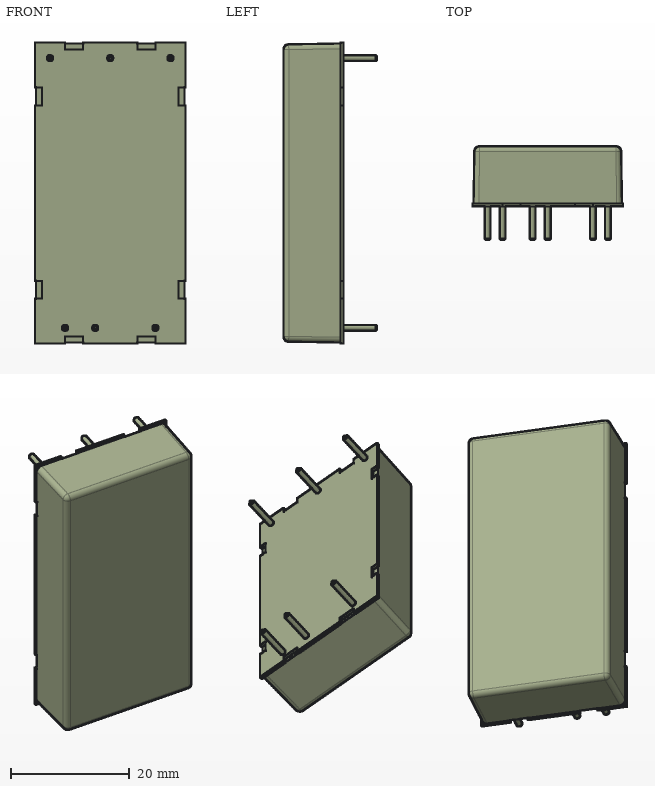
import cadquery as cq
import math

width = 25.4
height = 50.8
depth = 10.15

flange_thickness = 0.5
notch_length = 3.0
notch_depth = 1.2
notch_offset_x = 6.1
notch_offset_z = 16.3

case_inset_front = 0.15
case_inset_back = 0.3
edge_radius = 0.9

pin_diameter = 1.0
pin_length = 5.65
pin_chamfer = 0.25
pin_embed = 0.5
pin_row_z = 22.75
top_pins_x = (-10.15, 0.0, 10.15)
bottom_pins_x = (-7.6, -2.55, 7.6)


def make_case():
    """Tapered block with rounded corners and a rounded back."""
    case_depth = depth - flange_thickness
    taper = math.degrees(math.atan((case_inset_back - case_inset_front) / case_depth))
    inset = 2 * case_inset_front
    case = (
        cq.Workplane("XZ", origin=(0, flange_thickness, 0))
        .rect(width - inset, height - inset)
        .extrude(-case_depth, taper=taper)
    )
    return case.edges("not <Y").fillet(edge_radius)


def make_flange():
    """Thin plate with two notches in each of its four edges."""
    flange = cq.Workplane("XZ").rect(width, height).extrude(-flange_thickness)
    for side in (-1, 1):
        flange = flange.cut(
            cq.Workplane("XZ")
            .pushPoints([(x, side * height / 2) for x in (-notch_offset_x, notch_offset_x)])
            .rect(notch_length, 2 * notch_depth)
            .extrude(-flange_thickness)
        )
        flange = flange.cut(
            cq.Workplane("XZ")
            .pushPoints([(side * width / 2, z) for z in (-notch_offset_z, notch_offset_z)])
            .rect(2 * notch_depth, notch_length)
            .extrude(-flange_thickness)
        )
    return flange


def make_pins():
    """Two rows of three round pins with chamfered tips."""
    points = [(x, pin_row_z) for x in top_pins_x]
    points += [(x, -pin_row_z) for x in bottom_pins_x]
    return (
        cq.Workplane("XZ", origin=(0, pin_embed, 0))
        .pushPoints(points)
        .circle(pin_diameter / 2)
        .extrude(pin_embed + pin_length)
        .edges("<Y")
        .chamfer(pin_chamfer)
    )


result = make_case().union(make_flange()).union(make_pins())